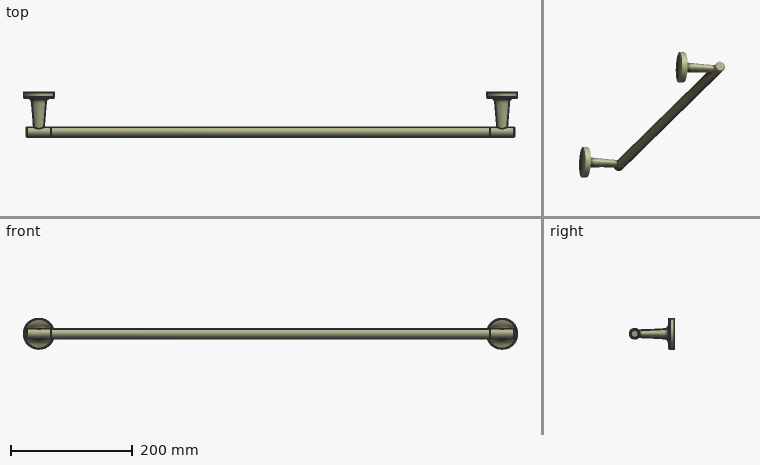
import cadquery as cq

post_spacing = 759.4
wall_to_bar_front = 73.2

rosette_diameter = 50.0
rosette_thickness = 9.5
rosette_bevel_depth = 2.5
rosette_bevel_inset = 1.0

bar_diameter = 16.5
bar_overhang = 21.0
end_chamfer = 2.0
joint_inset = 20.0
joint_groove_width = 0.5
joint_groove_depth = 0.5

post_root_width = 25.0
post_root_height = 17.0
post_middle_width = 20.0
post_middle_height = 13.5
post_tip_width = 16.0
post_tip_height = 12.0
root_fillet = 6.0

post_x = post_spacing / 2
bar_axis_y = bar_diameter / 2 - wall_to_bar_front
bar_half_length = post_x + bar_overhang
joint_x = post_x - joint_inset
rosette_front_y = -rosette_thickness
post_middle_y = (rosette_front_y + bar_axis_y) / 2


def cylinder_along_x(start_x, length, diameter):
    """Solid cylinder on the bar axis."""
    plane = cq.Plane(origin=(start_x, bar_axis_y, 0), xDir=(0, 1, 0), normal=(1, 0, 0))
    return cq.Workplane(plane).circle(diameter / 2).extrude(length)


def make_bar():
    """Bar with chamfered ends and a shallow groove where each end sleeve begins."""
    bar = cylinder_along_x(-bar_half_length, 2 * bar_half_length, bar_diameter)
    bar = bar.faces("<X or >X").chamfer(end_chamfer)
    core_diameter = bar_diameter - 2 * joint_groove_depth
    for x in (-joint_x, joint_x):
        start_x = x - joint_groove_width / 2
        ring = cylinder_along_x(start_x, joint_groove_width, bar_diameter)
        core = cylinder_along_x(start_x, joint_groove_width, core_diameter)
        bar = bar.cut(ring.cut(core))
    return bar


def facing_front(x, y):
    """Workplane parallel to the wall whose normal points away from the wall."""
    return cq.Workplane(cq.Plane(origin=(x, y, 0), xDir=(1, 0, 0), normal=(0, -1, 0)))


def make_rosette(x):
    """Round wall plate whose front rim is beveled, deeper along Y than across the radius."""
    rim_radius = rosette_diameter / 2
    front_radius = rim_radius - rosette_bevel_inset
    bevel_start = rosette_thickness - rosette_bevel_depth
    rim = facing_front(x, 0).circle(rim_radius).extrude(bevel_start)
    bevel = (
        facing_front(x, -bevel_start)
        .circle(rim_radius)
        .workplane(offset=rosette_bevel_depth)
        .circle(front_radius)
        .loft(combine=True)
    )
    return rim.union(bevel)


def make_post(x):
    """Oval post lofted smoothly from the rosette to the bar axis."""
    return (
        facing_front(x, rosette_front_y)
        .ellipse(post_root_width / 2, post_root_height / 2)
        .workplane(offset=rosette_front_y - post_middle_y)
        .ellipse(post_middle_width / 2, post_middle_height / 2)
        .workplane(offset=post_middle_y - bar_axis_y)
        .ellipse(post_tip_width / 2, post_tip_height / 2)
        .loft(combine=True)
    )


def make_support(x):
    """Wall rosette and its post, blended by a fillet at the post root."""
    support = make_rosette(x).union(make_post(x))
    around_post_root = cq.selectors.BoxSelector(
        (x - post_root_width, rosette_front_y - root_fillet / 2, -post_root_height),
        (x + post_root_width, rosette_front_y + root_fillet / 2, post_root_height),
        boundingbox=True,
    )
    return support.edges(around_post_root).fillet(root_fillet)


result = make_bar()
for support_x in (-post_x, post_x):
    result = result.union(make_support(support_x))